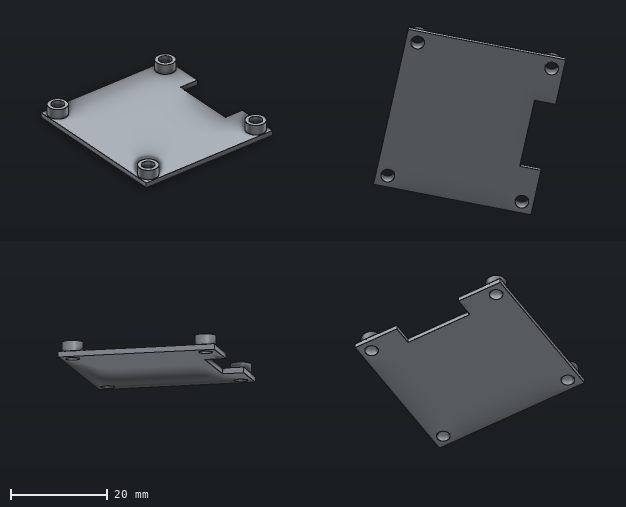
import cadquery as cq

plate_length = 35.4
plate_width = 33.5
plate_thickness = 1.2
total_height = 3.5

notch_length = 15.0
notch_depth = 4.5

standoff_diameter = 4.5
hole_diameter = 2.8
hole_inset = 2.5
standoff_height = total_height - plate_thickness
hole_spacing_x = plate_length - 2 * hole_inset
hole_spacing_y = plate_width - 2 * hole_inset


def corner_cylinders(diameter, height, base_z):
    """Four upright cylinders, one at each hole position."""
    return (
        cq.Workplane("XY", origin=(0, 0, base_z))
        .rect(hole_spacing_x, hole_spacing_y, forConstruction=True)
        .vertices()
        .circle(diameter / 2)
        .extrude(height)
    )


plate = cq.Workplane("XY").box(
    plate_length, plate_width, plate_thickness, centered=(True, True, False)
)

notch = cq.Workplane("XY", origin=(0, plate_width / 2, 0)).box(
    notch_length, 2 * notch_depth, plate_thickness, centered=(True, True, False)
)

standoffs = corner_cylinders(standoff_diameter, standoff_height, plate_thickness)
holes = corner_cylinders(hole_diameter, total_height, 0)

result = plate.cut(notch).union(standoffs).cut(holes)